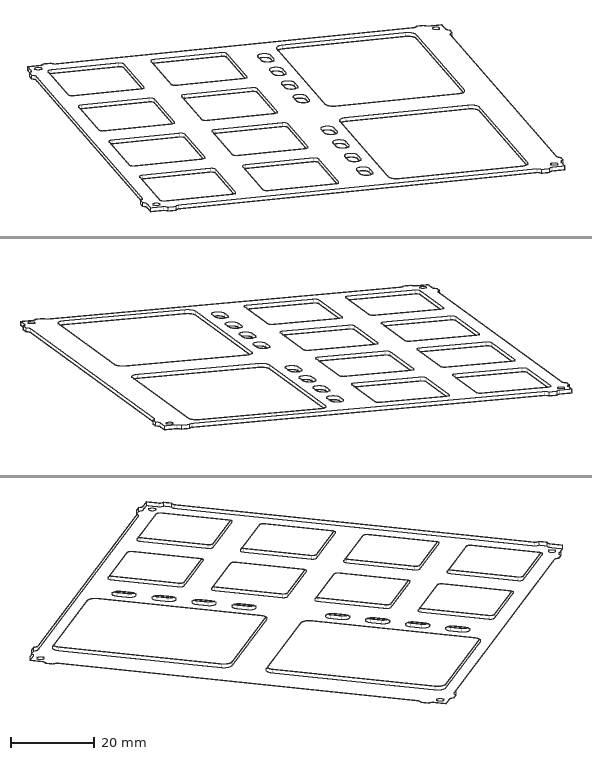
import cadquery as cq

plate_size = 104.0
overall_size = 105.6
thickness = 1.0

tab_height = (overall_size - plate_size) / 2
tab_offset = 46.9
tab_crest_length = 2.0
tab_flank_length = 0.9
tab_flank_radius = 1.3

hole_diameter = 1.75
hole_spacing = 99.9

window_width = 44.9
window_height = 35.0
window_radius = 2.1
window_x = 26.7
window_y = 26.6

key_size = 19.0
key_radius = 1.0
key_pitch = 25.85
key_columns = 4
key_row_y = (-key_pitch / 2, -key_pitch * 3 / 2)

slot_length = 5.95
slot_width = 3.2
slot_pitch = 10.0
slots_per_window = 4
slot_y = 4.78


def centred_row(count, pitch):
    """Positions of evenly spaced items, centred on zero."""
    return [(i - (count - 1) / 2) * pitch for i in range(count)]


def edge_tab(x):
    """Tab on the +Y side, centred at x, with a concave round on each flank."""
    base_y = plate_size / 2
    crest_y = base_y + tab_height
    half_crest = tab_crest_length / 2
    half_base = half_crest + tab_flank_length
    root_y = base_y - tab_height
    return (
        cq.Workplane("XY")
        .moveTo(x - half_base, root_y)
        .lineTo(x - half_base, base_y)
        .radiusArc((x - half_crest, crest_y), -tab_flank_radius)
        .lineTo(x + half_crest, crest_y)
        .radiusArc((x + half_base, base_y), -tab_flank_radius)
        .lineTo(x + half_base, root_y)
        .close()
        .extrude(thickness)
    )


def outer_plate():
    """Square plate with a pair of tabs on each side."""
    plate = cq.Workplane("XY").rect(plate_size, plate_size).extrude(thickness)
    for angle in (0, 90, 180, 270):
        for x in (-tab_offset, tab_offset):
            plate = plate.union(edge_tab(x).rotate((0, 0, 0), (0, 0, 1), angle))
    return plate


def rounded_openings(centres, width, height, radius):
    """Cutters for rectangular openings with rounded corners."""
    return (
        cq.Workplane("XY")
        .pushPoints(centres)
        .rect(width, height)
        .extrude(thickness)
        .edges("|Z")
        .fillet(radius)
    )


def corner_holes():
    return (
        cq.Workplane("XY")
        .rect(hole_spacing, hole_spacing, forConstruction=True)
        .vertices()
        .circle(hole_diameter / 2)
        .extrude(thickness)
    )


def slots():
    centres = [
        (side * window_x + x, slot_y)
        for side in (-1, 1)
        for x in centred_row(slots_per_window, slot_pitch)
    ]
    return cq.Workplane("XY").pushPoints(centres).slot2D(slot_length, slot_width).extrude(thickness)


window_centres = [(-window_x, window_y), (window_x, window_y)]
key_centres = [(x, y) for y in key_row_y for x in centred_row(key_columns, key_pitch)]

result = (
    outer_plate()
    .cut(corner_holes())
    .cut(rounded_openings(window_centres, window_width, window_height, window_radius))
    .cut(rounded_openings(key_centres, key_size, key_size, key_radius))
    .cut(slots())
)